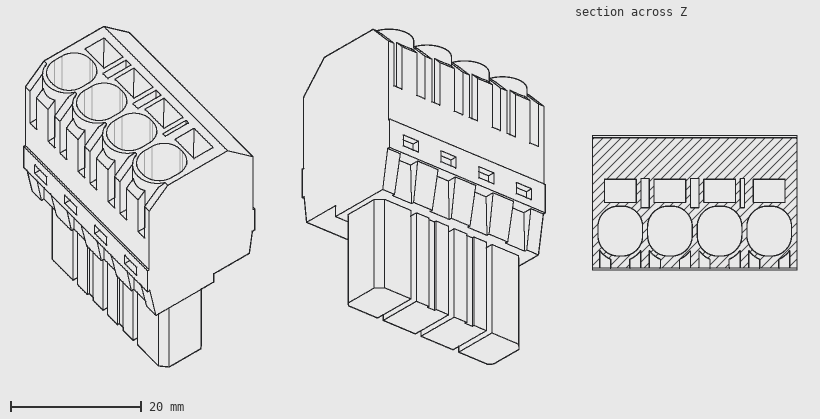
import cadquery as cq

pole_count = 4
pitch = 7.6
width = 31.4
depth = 20.6
height = 44.7
front = -depth / 2
back = depth / 2

belt_step = 0.3
belt_top = 27.25
belt_bottom = 22.25
back_chamfer = 4.9
front_chamfer = 3.58
skirt_top_inset = 0.45
front_skirt_inset = 1.6
back_skirt_inset = 1.05
housing_bottom = 15.55
rear_step_z = 17.5
rear_step_depth = 7.85

funnel_radius = pitch / 2
funnel_inset = 1.35
funnel_y = front + funnel_inset + funnel_radius
bore_width = 6.8
bore_length = 7.6
bore_corner_radius = 3.1
bore_y = -4.35
funnel_floor = 33.65
slot_inner = 1.48
slot_outer = 3.15

pocket_back = 3.7
pocket_width = 4.83
pocket_length = 3.65
pocket_wall_lean = 0.2
gap_width = 1.25
gap_length = 4.45

window_width = 3.0
window_bottom = 23.55
window_height = 1.9
window_depth = 1.2

recess_top_width = 3.5
recess_bottom_width = 3.85
recess_depth = 2.1
recess_floor_y = front + recess_depth

pin_width = 6.5
pin_length_y = 7.85
pin_back = 1.35
pin_front_chamfer = 1.15
pin_back_chamfer = 0.63
pin_groove_width = 1.45
pin_groove_depth = 0.35

pole_xs = [(i - (pole_count - 1) / 2) * pitch for i in range(pole_count)]


def box(x_min, x_max, y_min, y_max, z_min, z_max):
    """Axis-aligned box given by its limits."""
    return (
        cq.Workplane("XY")
        .box(x_max - x_min, y_max - y_min, z_max - z_min, centered=False)
        .translate((x_min, y_min, z_min))
    )


def housing():
    """Housing outline in the YZ plane, extruded across the full width."""
    wall_front = front + belt_step
    wall_back = back - belt_step
    outline = [
        (wall_front + front_chamfer, height),
        (wall_back - back_chamfer, height),
        (wall_back, height - back_chamfer),
        (wall_back, belt_top),
        (back, belt_top),
        (back, belt_bottom),
        (back - skirt_top_inset, belt_bottom),
        (back - back_skirt_inset, rear_step_z),
        (back - rear_step_depth, rear_step_z),
        (back - rear_step_depth, housing_bottom),
        (front + front_skirt_inset, housing_bottom),
        (front + skirt_top_inset, belt_bottom),
        (front, belt_bottom),
        (front, belt_top),
        (wall_front, belt_top),
        (wall_front, height - front_chamfer),
    ]
    return cq.Workplane("YZ").polyline(outline).close().extrude(width / 2, both=True)


def funnel_slots(x):
    """Pair of upright slots that free the sides of the funnel column."""
    left = box(x - slot_outer, x - slot_inner, front, funnel_y, funnel_floor, height)
    right = box(x + slot_inner, x + slot_outer, front, funnel_y, funnel_floor, height)
    return left.union(right)


def funnel_column(x):
    return (
        cq.Workplane("XY", origin=(x, funnel_y, funnel_floor))
        .circle(funnel_radius)
        .extrude(height - funnel_floor)
    )


def funnel_bore(x):
    """Bore with a nearly round outline: a rectangle with large corner radii."""
    return (
        cq.Workplane("XY", origin=(x, bore_y, funnel_floor))
        .rect(bore_width, bore_length)
        .extrude(height - funnel_floor)
        .edges("|Z").fillet(bore_corner_radius)
    )


def top_pocket(x):
    """Rectangular pocket whose rear wall leans slightly forward toward the floor."""
    pocket_front = pocket_back - pocket_length
    return (
        cq.Workplane("YZ", origin=(x, 0, 0))
        .polyline([
            (pocket_front, height),
            (pocket_back, height),
            (pocket_back - pocket_wall_lean, funnel_floor),
            (pocket_front, funnel_floor),
        ])
        .close()
        .extrude(pocket_width / 2, both=True)
    )


def gap_slots():
    """Narrow slots between the pockets; the last one stops at the pole boundary."""
    slots = cq.Workplane("XY")
    for x in pole_xs[:-1]:
        boundary = x + pitch / 2
        is_last = x == pole_xs[-2]
        right_edge = boundary if is_last else boundary + gap_width / 2
        slots = slots.union(box(
            boundary - gap_width / 2, right_edge,
            pocket_back - gap_length, pocket_back,
            funnel_floor, height,
        ))
    return slots


def belt_window(x):
    return box(
        x - window_width / 2, x + window_width / 2,
        front, front + window_depth,
        window_bottom, window_bottom + window_height,
    )


def skirt_recess(x):
    """Upright recess in the sloping skirt, widening toward the bottom."""
    return (
        cq.Workplane("XZ", origin=(x, recess_floor_y, 0))
        .polyline([
            (-recess_top_width / 2, belt_bottom),
            (recess_top_width / 2, belt_bottom),
            (recess_bottom_width / 2, housing_bottom),
            (-recess_bottom_width / 2, housing_bottom),
        ])
        .close()
        .extrude(recess_depth)
    )


def plain_pin(x):
    return box(
        x - pin_width / 2, x + pin_width / 2,
        pin_back - pin_length_y, pin_back,
        0, housing_bottom,
    )


def end_pin(x, outer_side):
    """Outermost pin, chamfered along its two outer upright edges."""
    return (
        plain_pin(x)
        .faces(f"{outer_side}X").edges("|Z and <Y").chamfer(pin_front_chamfer)
        .faces(f"{outer_side}X").edges("|Z and >Y").chamfer(pin_back_chamfer)
    )


def inner_pin(x):
    """Inner pin with a shallow groove down the middle of its front."""
    pin_front = pin_back - pin_length_y
    groove = box(
        x - pin_groove_width / 2, x + pin_groove_width / 2,
        pin_front, pin_front + pin_groove_depth,
        0, housing_bottom,
    )
    return plain_pin(x).cut(groove)


result = housing()
for pole_x in pole_xs:
    result = result.cut(funnel_slots(pole_x)).union(funnel_column(pole_x))
for pole_x in pole_xs:
    result = result.cut(funnel_bore(pole_x)).cut(top_pocket(pole_x))
    result = result.cut(belt_window(pole_x)).cut(skirt_recess(pole_x))
result = result.cut(gap_slots())

result = result.union(end_pin(pole_xs[0], "<")).union(end_pin(pole_xs[-1], ">"))
for pole_x in pole_xs[1:-1]:
    result = result.union(inner_pin(pole_x))